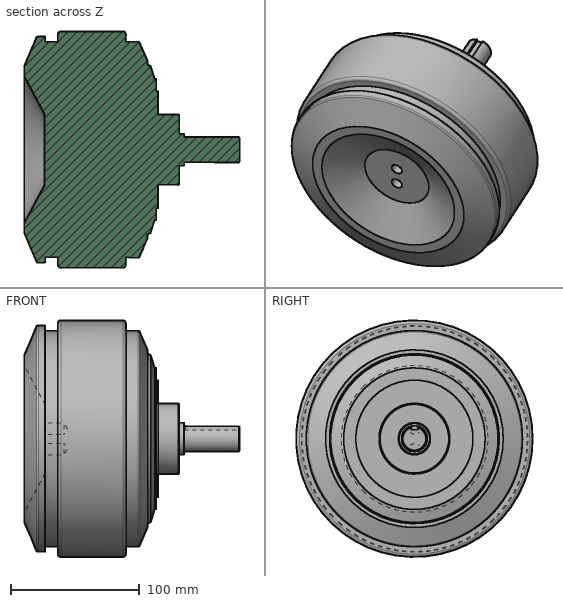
import cadquery as cq
import math

TOTAL_LENGTH = 167.5

FACE_DIA = 130.0
FLANGE_DIA = 176.0
FLANGE_CONE_END = 9.8
FLANGE_END = 16.5
FLANGE_FILLET = 1.5
FLANGE_BACK_CHAMFER = 0.5

DISH_RIM_DIA = 114.0
DISH_FLOOR_DIA = 55.0
DISH_DEPTH = 15.7
HOLE_DIA = 8.8
HOLE_SPACING = 16.0
HOLE_DEPTH = 15.0
DRILL_TIP_ANGLE = 118.0

NECK_DIA = 168.0
DRUM_DIA = 184.0
DRUM_START = 26.0
DRUM_END = 79.1
DRUM_FILLET = 2.5

SHOULDER_END = 89.3
SHOULDER_FILLET = 1.5
CONE_END = 95.9
CONE_END_DIA = 138.0
CAP_DIA = 132.0
CAP_RIM_END = 98.3
CAP_EDGE_DIA = 130.0
CAP_CONE_END = 101.4
CAP_CONE_END_DIA = 110.0
CAP_END = 102.7
PLATE_DIA = 91.0
PLATE_END = 104.0

HUB_DIA = 55.0
HUB_END = 120.5
COLLAR_DIA = 25.0
COLLAR_END = 124.5
HUB_CHAMFER = 0.8
COLLAR_CHAMFER = 0.6
SHAFT_DIA = 20.0
SHAFT_CHAMFER = 1.0

KEYWAY_WIDTH = 5.0
KEYWAY_DEPTH = 3.0
KEYWAY_START = 125.0

SELECT_TOLERANCE = 0.1


def revolve_outline(points):
    """Turn a list of (axial position, diameter) points into a solid about the X axis."""
    outline = [(x, diameter / 2) for x, diameter in points]
    return cq.Workplane("XY").polyline(outline).close().revolve(360, (0, 0, 0), (1, 0, 0))


def cylinder(start, end, diameter):
    """Make a solid cylinder on the X axis between two axial positions."""
    return cq.Workplane("YZ", origin=(start, 0, 0)).circle(diameter / 2).extrude(end - start)


def edge_at(x, diameter):
    """Select the circular edge of the given diameter in the plane at the given axial position.

    Smaller edges in the same plane would be selected too, so the plane must hold only this one.
    """
    reach = diameter / 2 + SELECT_TOLERANCE
    low_corner = (x - SELECT_TOLERANCE, -reach, -reach)
    high_corner = (x + SELECT_TOLERANCE, reach, reach)
    return cq.selectors.BoxSelector(low_corner, high_corner, boundingbox=True)


def make_flange():
    flange = revolve_outline([
        (0, 0),
        (0, FACE_DIA),
        (FLANGE_CONE_END, FLANGE_DIA),
        (FLANGE_END, FLANGE_DIA),
        (FLANGE_END, 0),
    ])
    flange = flange.edges(edge_at(FLANGE_CONE_END, FLANGE_DIA)).fillet(FLANGE_FILLET)
    return flange.edges(edge_at(FLANGE_END, FLANGE_DIA)).chamfer(FLANGE_BACK_CHAMFER)


def make_drum():
    drum = cylinder(DRUM_START, DRUM_END, DRUM_DIA)
    return drum.faces("<X or >X").edges().fillet(DRUM_FILLET)


def make_rear_cover():
    cover = revolve_outline([
        (FLANGE_END, 0),
        (FLANGE_END, NECK_DIA),
        (SHOULDER_END, NECK_DIA),
        (CONE_END, CONE_END_DIA),
        (CONE_END, CAP_DIA),
        (CAP_RIM_END, CAP_EDGE_DIA),
        (CAP_CONE_END, CAP_CONE_END_DIA),
        (CAP_END, CAP_CONE_END_DIA),
        (CAP_END, PLATE_DIA),
        (PLATE_END, PLATE_DIA),
        (PLATE_END, 0),
    ])
    return cover.edges(edge_at(SHOULDER_END, NECK_DIA)).fillet(SHOULDER_FILLET)


def make_shaft():
    hub = cylinder(PLATE_END, HUB_END, HUB_DIA).faces(">X").chamfer(HUB_CHAMFER)
    collar = cylinder(HUB_END, COLLAR_END, COLLAR_DIA).faces(">X").chamfer(COLLAR_CHAMFER)
    shaft = cylinder(COLLAR_END, TOTAL_LENGTH, SHAFT_DIA).faces(">X").chamfer(SHAFT_CHAMFER)
    return hub.union(collar).union(shaft)


def make_dish():
    return revolve_outline([
        (0, 0),
        (0, DISH_RIM_DIA),
        (DISH_DEPTH, DISH_FLOOR_DIA),
        (DISH_DEPTH, 0),
    ])


def make_hole(z):
    tip_length = HOLE_DIA / 2 / math.tan(math.radians(DRILL_TIP_ANGLE / 2))
    hole = revolve_outline([
        (DISH_DEPTH, 0),
        (DISH_DEPTH, HOLE_DIA),
        (DISH_DEPTH + HOLE_DEPTH, HOLE_DIA),
        (DISH_DEPTH + HOLE_DEPTH + tip_length, 0),
    ])
    return hole.translate((0, 0, z))


def make_keyway():
    end_radius = KEYWAY_WIDTH / 2
    straight_start = KEYWAY_START + end_radius
    straight_length = TOTAL_LENGTH - straight_start
    floor = cq.Workplane("XY", origin=(straight_start, 0, SHAFT_DIA / 2 - KEYWAY_DEPTH))
    straight = floor.rect(straight_length, KEYWAY_WIDTH, centered=(False, True)).extrude(KEYWAY_DEPTH)
    return straight.union(floor.circle(end_radius).extrude(KEYWAY_DEPTH))


result = make_flange().union(make_rear_cover()).union(make_drum()).union(make_shaft())
result = result.cut(make_dish())
for hole_z in (-HOLE_SPACING / 2, HOLE_SPACING / 2):
    result = result.cut(make_hole(hole_z))
result = result.cut(make_keyway())